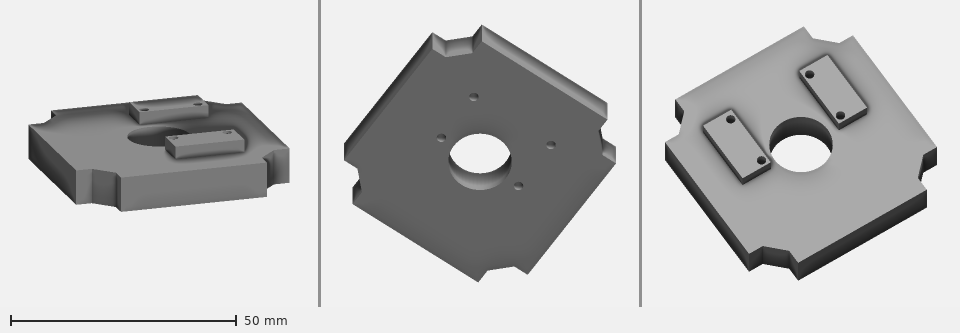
import cadquery as cq

plate_side = 49.8
plate_thickness = 8.0
bore_diameter = 14.1

notch_size = 7.85
shoulder_depth = 3.65

pad_width = 7.45
pad_length = 16.05
pad_height = 3.0
pad_inner_x = 9.0
pad_front_y = -1.55

pin_diameter = 2.1
pin_x = 10.45
pin_spacing = 12.5

half_side = plate_side / 2
total_height = plate_thickness + pad_height


def corner_notch():
    """Cutter for the corner at +X, +Y."""
    inner = half_side - notch_size
    shoulder = half_side - shoulder_depth
    return (
        cq.Workplane("XY")
        .moveTo(half_side, half_side)
        .lineTo(inner, half_side)
        .lineTo(inner, shoulder)
        .lineTo(shoulder, inner)
        .lineTo(half_side, inner)
        .close()
        .extrude(plate_thickness)
    )


def make_plate():
    """Plate with four notched corners and a central bore."""
    plate = cq.Workplane("XY").box(plate_side, plate_side, plate_thickness, centered=(True, True, False))
    for angle in (0, 90, 180, 270):
        plate = plate.cut(corner_notch().rotate((0, 0, 0), (0, 0, 1), angle))
    return plate.cut(cq.Workplane("XY").circle(bore_diameter / 2).extrude(plate_thickness))


def make_pad(side):
    """Pad on the +X side (side = 1) or the -X side (side = -1)."""
    pad_center_x = side * (pad_inner_x + pad_width / 2)
    pad_center_y = pad_front_y + pad_length / 2
    return (
        cq.Workplane("XY", origin=(pad_center_x, pad_center_y, plate_thickness))
        .box(pad_width, pad_length, pad_height, centered=(True, True, False))
    )


pin_centers = [(side * pin_x, y) for side in (-1, 1) for y in (0, pin_spacing)]
pin_holes = cq.Workplane("XY").pushPoints(pin_centers).circle(pin_diameter / 2).extrude(total_height)

result = make_plate().union(make_pad(-1)).union(make_pad(1)).cut(pin_holes)